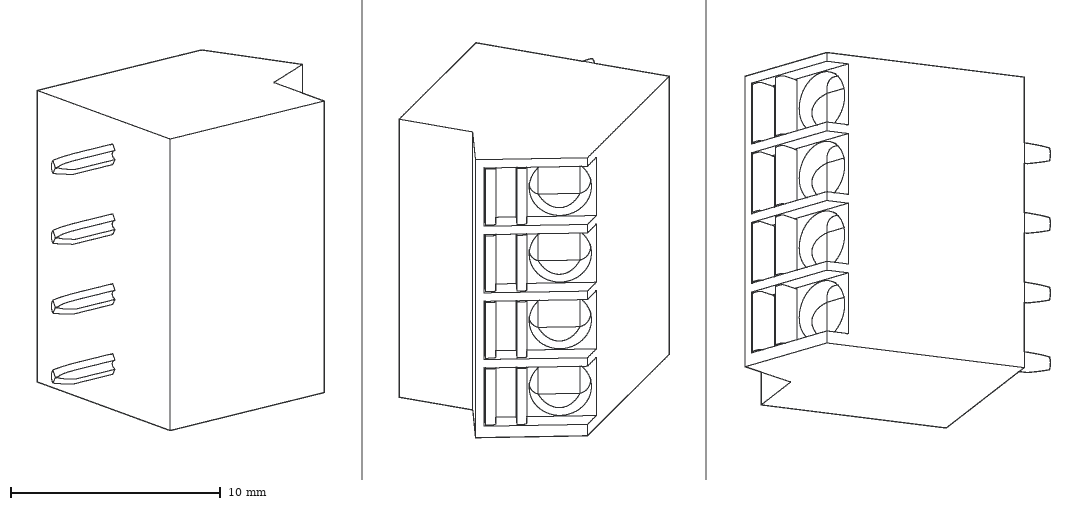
import cadquery as cq
import math


width = 10.0
height = 14.6
overall_depth = 15.9
apex_x = 4.85
apex_y = 12.42
shoulder_y = 9.52
slant_angle = 25
slant = math.radians(slant_angle)
slant_start_y = apex_y - apex_x * math.tan(slant)
shoulder_x = apex_x + (apex_y - shoulder_y) * math.tan(slant)
slant_length = apex_x / math.cos(slant)

pole_count = 4
pole_pitch = 3.5
first_pole_z = 2.13

pocket_depth = 1.0
pocket_height = 3.05
pocket_end_wall = 0.41
pocket_end = slant_length - pocket_end_wall
cut_overrun = 1.59

lever_clearance = 0.06
lever_height = pocket_height - 2 * lever_clearance
lever_rounding = 0.15
front_rib_start = 2.9
front_rib_end = 3.37
rear_rib_start = 4.37
rear_rib_end = pocket_end - lever_clearance

bore_diameter = 2.97
bore_depth = 0.89
bore_position = 1.25
funnel_depth = 0.54
funnel_square = 2.0

pin_length = overall_depth - apex_y
pin_embedment = 0.32
pin_back_x = 5.31
pin_outer_radius = 0.52
strip_thickness = 0.33
pin_inner_radius = pin_outer_radius - strip_thickness
leg_angle = math.radians(30)
leg_length = 0.13
first_pin_z = 2.29
bevel_length = 1.03
bevel_tip_x = 5.61


def slanted_plane(z):
    """Plane normal to Z with local x along the slanted face and local y out of it."""
    return cq.Plane(
        origin=(0, slant_start_y, z),
        xDir=(math.cos(slant), math.sin(slant), 0),
        normal=(0, 0, 1),
    )


def floor_plane(pole_z):
    """Plane on the pocket floor at the bore axis, facing into the housing."""
    along = (math.cos(slant), math.sin(slant), 0)
    inward = (math.sin(slant), -math.cos(slant), 0)
    center = slanted_plane(pole_z).toWorldCoords((bore_position, -pocket_depth, 0))
    return cq.Plane(origin=center.toTuple(), xDir=along, normal=inward)


def make_housing():
    outline = [
        (0, 0),
        (width, 0),
        (width, shoulder_y),
        (shoulder_x, shoulder_y),
        (apex_x, apex_y),
        (0, slant_start_y),
    ]
    return cq.Workplane("XY").polyline(outline).close().extrude(height)


def make_pocket(pole_z):
    return (
        cq.Workplane(slanted_plane(pole_z - pocket_height / 2))
        .moveTo(-cut_overrun, -pocket_depth)
        .lineTo(pocket_end, -pocket_depth)
        .lineTo(pocket_end, cut_overrun)
        .lineTo(-cut_overrun, cut_overrun)
        .close()
        .extrude(pocket_height)
    )


def make_rib(pole_z, start, end):
    """Lever rib with its leading top edge rounded."""
    bend = lever_rounding * (1 - math.sqrt(0.5))
    return (
        cq.Workplane(slanted_plane(pole_z - lever_height / 2))
        .moveTo(start, -pocket_depth)
        .lineTo(start, -lever_rounding)
        .threePointArc((start + bend, -bend), (start + lever_rounding, 0))
        .lineTo(end, 0)
        .lineTo(end, -pocket_depth)
        .close()
        .extrude(lever_height)
    )


def make_wire_entry(pole_z):
    floor = cq.Workplane(floor_plane(pole_z))
    bore = floor.circle(bore_diameter / 2).extrude(bore_depth)
    bore_end = floor.workplane(offset=bore_depth)
    cone = (
        bore_end.circle(bore_diameter / 2)
        .workplane(offset=funnel_depth)
        .circle(funnel_square / math.sqrt(2))
        .loft()
    )
    pyramid = (
        bore_end.rect(bore_diameter, bore_diameter)
        .workplane(offset=funnel_depth)
        .rect(funnel_square, funnel_square)
        .loft(ruled=True)
    )
    funnel = cone.intersect(pyramid)
    return bore.union(funnel)


def make_pin(pin_z):
    """Pin along -Y; the edges of both legs are bevelled toward the tip."""
    leg_x = math.cos(leg_angle)
    leg_z = math.sin(leg_angle)
    bend_center_x = pin_back_x + pin_outer_radius
    outer_bend = (bend_center_x - pin_outer_radius * leg_z, pin_outer_radius * leg_x)
    inner_bend = (bend_center_x - pin_inner_radius * leg_z, pin_inner_radius * leg_x)
    outer_end = (outer_bend[0] + leg_length * leg_x, outer_bend[1] + leg_length * leg_z)
    inner_end = (inner_bend[0] + leg_length * leg_x, inner_bend[1] + leg_length * leg_z)
    pin = (
        cq.Workplane("XZ", origin=(0, pin_embedment, pin_z))
        .moveTo(*inner_end)
        .lineTo(*outer_end)
        .lineTo(*outer_bend)
        .threePointArc((pin_back_x, 0), (outer_bend[0], -outer_bend[1]))
        .lineTo(outer_end[0], -outer_end[1])
        .lineTo(inner_end[0], -inner_end[1])
        .lineTo(inner_bend[0], -inner_bend[1])
        .threePointArc((pin_back_x + strip_thickness, 0), inner_bend)
        .close()
        .extrude(pin_length + pin_embedment)
    )

    bevel_width = (inner_end[0] - bevel_tip_x) * leg_x + inner_end[1] * leg_z
    for side in (1, -1):
        bevel_plane = cq.Plane(
            origin=(bevel_tip_x, -pin_length, pin_z),
            xDir=(leg_x, 0, side * leg_z),
            normal=(-side * leg_z, 0, leg_x),
        )
        bevel = (
            cq.Workplane(bevel_plane)
            .polyline([(0, 0), (bevel_width, 0), (bevel_width, bevel_length)])
            .close()
            .extrude(side * cut_overrun)
        )
        pin = pin.cut(bevel)
    return pin


result = make_housing()
for pole in range(pole_count):
    pole_z = first_pole_z + pole * pole_pitch
    pin_z = first_pin_z + pole * pole_pitch
    result = result.cut(make_pocket(pole_z))
    result = result.cut(make_wire_entry(pole_z))
    result = result.union(make_rib(pole_z, front_rib_start, front_rib_end))
    result = result.union(make_rib(pole_z, rear_rib_start, rear_rib_end))
    result = result.union(make_pin(pin_z))